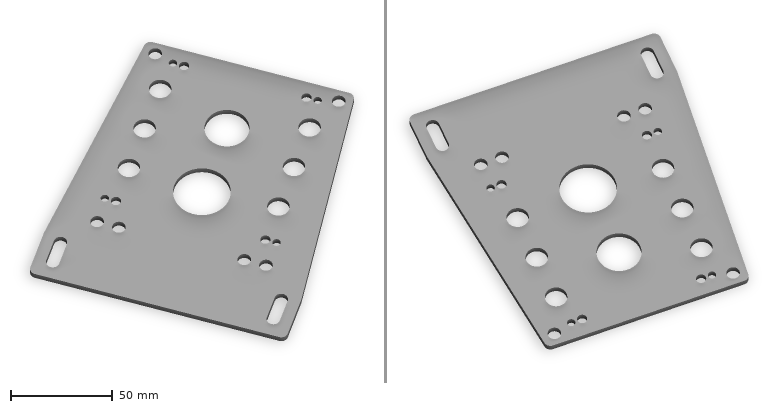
import cadquery as cq

plate_length = 152.4
base_width = 133.4
top_width = 107.9
thickness = 3.2
straight_side_height = 25.5
corner_radius = 3.4

corner_hole = 6.7
large_pilot = 5.0
small_pilot = 4.1
side_hole = 11.1
side_hole_x = 38.7
side_hole_middle_y = 24.8
side_hole_pitch = 25.3
upper_pilot_y = 67.0
lower_pilot_y = -21.6
lower_pair_y = -36.4

mirrored_holes = [
    (corner_hole, 47.5, 69.8),
    (large_pilot, 31.7, upper_pilot_y),
    (small_pilot, 37.5, upper_pilot_y),
    (large_pilot, side_hole_x, lower_pilot_y),
    (small_pilot, 44.5, lower_pilot_y),
    (corner_hole, 32.5, lower_pair_y),
    (corner_hole, 43.7, lower_pair_y),
]
for step in (-1, 0, 1):
    mirrored_holes.append((side_hole, side_hole_x, side_hole_middle_y + step * side_hole_pitch))

center_holes = [(22.3, 37.3), (28.5, -3.4)]

slot_length = 19.2
slot_width = 6.7
slot_x = 57.2
slot_y = -60.2


def make_plate():
    """Tapered plate with short straight sides at the base and rounded end corners."""
    half_length = plate_length / 2
    half_base = base_width / 2
    half_top = top_width / 2
    taper_start_y = straight_side_height - half_length
    outline = [
        (-half_base, -half_length),
        (half_base, -half_length),
        (half_base, taper_start_y),
        (half_top, half_length),
        (-half_top, half_length),
        (-half_base, taper_start_y),
    ]
    plate = cq.Workplane("XY").polyline(outline).close().extrude(thickness)
    end_corners = plate.faces("<Y or >Y").edges("|Z")
    return end_corners.fillet(corner_radius)


def through_holes(diameter, centers):
    return cq.Workplane("XY").pushPoints(centers).circle(diameter / 2).extrude(thickness)


result = make_plate()

for diameter, x, y in mirrored_holes:
    result = result.cut(through_holes(diameter, [(-x, y), (x, y)]))

for diameter, y in center_holes:
    result = result.cut(through_holes(diameter, [(0, y)]))

slots = (
    cq.Workplane("XY")
    .pushPoints([(-slot_x, slot_y), (slot_x, slot_y)])
    .slot2D(slot_length, slot_width, 90)
    .extrude(thickness)
)
result = result.cut(slots)